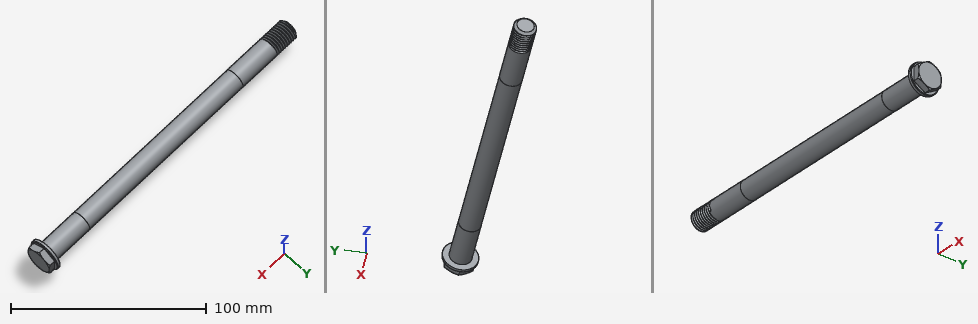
import cadquery as cq
import math

total_length = 185.0
head_length = 6.0
shank_length = total_length - head_length

shank_diameter = 12.0
middle_diameter = 11.9
middle_start = 40.5
middle_end = shank_length - 25.5

thread_pitch = 1.5
thread_start = 1.3
thread_length = 15.5
thread_start_angle = 130.0
thread_depth = 1.1
groove_half_angle = 30.0
crest_overlap = 0.25
tip_diameter = 9.0
tip_chamfer_length = 1.2

flange_diameter = 19.05
rim_thickness = 1.5
flange_thickness = 2.0
flange_back_diameter = 18.4

across_flats = 15.0
across_corners = across_flats / math.cos(math.radians(30))
hex_end_diameter = across_flats
hex_chamfer_angle = 30.0


def revolve_about_x(points):
    """Turn a closed (x, radius) outline about the X axis."""
    profile = cq.Workplane("XZ").polyline(points).close()
    return profile.revolve(360, (0, 0, 0), (1, 0, 0))


def make_shank_and_flange():
    """Chamfered tip, stepped shank and tapered flange as one turned body."""
    shank_radius = shank_diameter / 2
    middle_radius = middle_diameter / 2
    rim_radius = flange_diameter / 2
    rim_end = shank_length + rim_thickness
    flange_end = shank_length + flange_thickness
    return revolve_about_x([
        (0, 0),
        (0, tip_diameter / 2),
        (tip_chamfer_length, shank_radius),
        (middle_start, shank_radius),
        (middle_start, middle_radius),
        (middle_end, middle_radius),
        (middle_end, shank_radius),
        (shank_length, shank_radius),
        (shank_length, rim_radius),
        (rim_end, rim_radius),
        (flange_end, flange_back_diameter / 2),
        (flange_end, 0),
    ])


def make_hex():
    """Hexagonal head whose outer corners are trimmed by a cone."""
    hex_start = shank_length + rim_thickness
    hexagon = (
        cq.Workplane("YZ", origin=(hex_start, 0, 0))
        .transformed(rotate=(0, 0, 90))
        .polygon(6, across_corners)
        .extrude(total_length - hex_start)
    )
    corner_radius = across_corners / 2
    end_radius = hex_end_diameter / 2
    slope = math.tan(math.radians(hex_chamfer_angle))
    chamfer_start = total_length - (corner_radius - end_radius) * slope
    envelope = revolve_about_x([
        (hex_start, 0),
        (hex_start, corner_radius),
        (chamfer_start, corner_radius),
        (total_length, end_radius),
        (total_length, 0),
    ])
    return hexagon.intersect(envelope)


def make_thread_groove():
    """Right-hand V groove that starts behind the tip chamfer and stops at the thread length."""
    root_radius = shank_diameter / 2 - thread_depth
    outer_radius = shank_diameter / 2 + crest_overlap
    half_width = (outer_radius - root_radius) * math.tan(math.radians(groove_half_angle))
    helix = cq.Wire.makeHelix(thread_pitch, thread_length - thread_start, root_radius)
    groove = (
        cq.Workplane("XZ")
        .polyline([(root_radius, 0), (outer_radius, half_width), (outer_radius, -half_width)])
        .close()
        .sweep(cq.Workplane(helix), isFrenet=True)
    )
    along_x = groove.rotate((0, 0, 0), (0, 1, 0), 90)
    turned = along_x.rotate((0, 0, 0), (1, 0, 0), thread_start_angle)
    return turned.translate((thread_start, 0, 0))


result = make_shank_and_flange().union(make_hex()).cut(make_thread_groove())